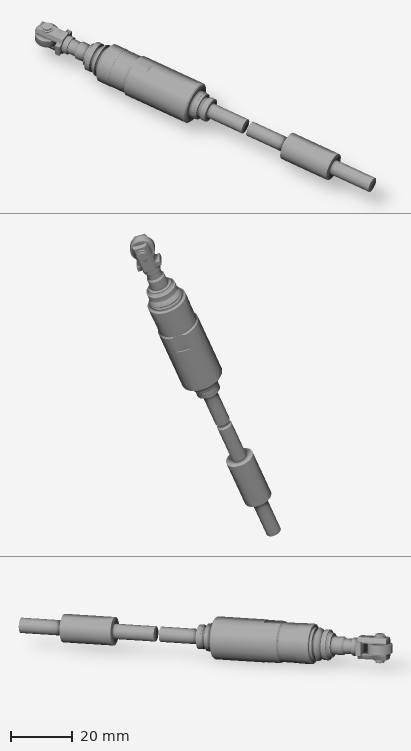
import cadquery as cq


roller_dia = 8.0
roller_width = 3.0
pin_x = roller_dia / 2
pin_dia = 3.0
pin_length = 9.4
washer_dia = 4.0
washer_thickness = 0.4

fork_tip_x = 1.2
fork_end_x = 11.0
fork_height = 7.2
fork_width = 5.0
fork_flat_width = 3.6
fork_shoulder_height = 4.4
fork_slot_height = 3.5
fork_slot_end_x = 9.3
flange_width = 8.0

stem_dia = 6.0
stem_chamfer = 0.3
stem_neck_dia = 5.0
stem_neck_start_x = 13.0
stem_neck_end_x = 15.7
stem_neck_taper = 0.6

bellows_x = 19.9
bellows_nose_dia = 7.9
bellows_collar_dia = 9.0
bellows_taper_x = 20.4
bellows_bead_dia = 10.0
bellows_bead_start_x = 21.1
bellows_bead_end_x = 22.7
bellows_groove_dia = 8.0
bellows_disc_x = 23.0
bellows_disc_mid_x = 23.85
bellows_disc_mid_dia = 10.0
bellows_disc_dia = 11.0
bellows_slit_start_x = 24.8
bellows_slit_end_x = 25.7
bellows_slit_dia = 9.0

cap_dia = 13.2
cap_chamfer = 0.15
cap_x = 26.5
cap_joint_x = 31.1
cap_end_x = 36.9
barrel_front_dia = 13.0
barrel_dia = 14.0
barrel_end_x = 60.2
barrel_chamfer = 0.4
flat_across = 13.0
flat_length = 6.1

gland_dia = 9.3
gland_end_x = 62.0
gland_step_dia = 9.0
gland_step_end_x = 62.8
gland_groove_dia = 7.0
gland_taper_x = 63.6
gland_taper_end_x = 63.9
gland_taper_dia = 7.7
gland_lip_x = 64.2
gland_lip_dia = 8.0
gland_lip_end_x = 65.8

cable_dia = 5.0
cable_break_x = 78.9
cable_resume_x = 80.7
cable_end_x = 126.86
sleeve_dia = 9.3
sleeve_start_x = 94.8
sleeve_end_x = 112.2


def turned(stations):
    """Solid of revolution about X through (x, diameter) stations."""
    points = [(x, dia / 2) for x, dia in stations]
    outline = [(points[0][0], 0)] + points + [(points[-1][0], 0)]
    return cq.Workplane("XY").polyline(outline).close().revolve(360, (0, 0, 0), (1, 0, 0))


def slab(start_x, end_x, width, height):
    """Block centred on the X axis."""
    return cq.Workplane("XY").box(end_x - start_x, width, height).translate(((start_x + end_x) / 2, 0, 0))


def upright_disc(dia, height):
    """Cylinder along Z on the pin axis, centred on Z = 0."""
    return cq.Workplane("XY").center(pin_x, 0).circle(dia / 2).extrude(height / 2, both=True)


def make_fork():
    half_section = [
        (fork_width / 2, -fork_shoulder_height / 2),
        (fork_width / 2, fork_shoulder_height / 2),
        (fork_flat_width / 2, fork_height / 2),
    ]
    section = half_section + [(-y, z) for y, z in reversed(half_section)]
    section += [(-fork_flat_width / 2, -fork_height / 2), (fork_flat_width / 2, -fork_height / 2)]
    fork = (
        cq.Workplane("YZ", origin=(fork_tip_x, 0, 0))
        .polyline(section)
        .close()
        .extrude(fork_end_x - fork_tip_x)
    )
    flange = slab(fork_slot_end_x, fork_end_x, flange_width, fork_shoulder_height)
    slot = slab(fork_tip_x, fork_slot_end_x, fork_width, fork_slot_height)
    return fork.cut(slot).union(flange)


def make_roller():
    roller = upright_disc(roller_dia, roller_width)
    pin = upright_disc(pin_dia, pin_length)
    washers = upright_disc(washer_dia, fork_height + 2 * washer_thickness)
    washers = washers.cut(upright_disc(washer_dia, fork_height))
    return roller.union(pin).union(washers)


def make_bellows_disc():
    """Bellows disc with a domed front face, rising from the groove to the full diameter."""
    return (
        cq.Workplane("XY")
        .moveTo(bellows_disc_x, 0)
        .lineTo(bellows_disc_x, bellows_groove_dia / 2)
        .threePointArc(
            (bellows_disc_mid_x, bellows_disc_mid_dia / 2),
            (bellows_slit_start_x, bellows_disc_dia / 2),
        )
        .lineTo(bellows_slit_start_x, 0)
        .close()
        .revolve(360, (0, 0, 0), (1, 0, 0))
    )


def make_stem_and_barrel():
    shaft = turned([
        (fork_end_x, stem_dia - 2 * stem_chamfer),
        (fork_end_x + stem_chamfer, stem_dia),
        (stem_neck_start_x, stem_dia),
        (stem_neck_start_x, stem_neck_dia),
        (stem_neck_end_x, stem_neck_dia),
        (stem_neck_end_x + stem_neck_taper, stem_dia),
        (bellows_x, stem_dia),
        (bellows_x, bellows_nose_dia),
        (bellows_taper_x, bellows_nose_dia),
        (bellows_bead_start_x, bellows_collar_dia),
        (bellows_bead_start_x, bellows_bead_dia),
        (bellows_bead_end_x, bellows_bead_dia),
        (bellows_bead_end_x, bellows_groove_dia),
        (bellows_slit_start_x, bellows_groove_dia),
        (bellows_slit_start_x, bellows_slit_dia),
        (bellows_slit_end_x, bellows_slit_dia),
        (bellows_slit_end_x, bellows_disc_dia),
        (cap_x, bellows_disc_dia),
        (cap_x, cap_dia - 2 * cap_chamfer),
        (cap_x + cap_chamfer, cap_dia),
        (cap_joint_x, cap_dia),
        (cap_joint_x, barrel_front_dia),
        (cap_end_x, barrel_front_dia),
        (cap_end_x, barrel_dia - 2 * barrel_chamfer),
        (cap_end_x + barrel_chamfer, barrel_dia),
        (barrel_end_x - barrel_chamfer, barrel_dia),
        (barrel_end_x, barrel_dia - 2 * barrel_chamfer),
        (barrel_end_x, gland_dia),
        (gland_end_x, gland_dia),
        (gland_end_x, gland_step_dia),
        (gland_step_end_x, gland_step_dia),
        (gland_step_end_x, gland_groove_dia),
        (gland_taper_x, gland_groove_dia),
        (gland_taper_end_x, gland_taper_dia),
        (gland_lip_x, gland_taper_dia),
        (gland_lip_x, gland_lip_dia),
        (gland_lip_end_x, gland_lip_dia),
        (gland_lip_end_x, cable_dia),
        (cable_break_x, cable_dia),
    ])
    flat_end_x = cap_end_x + flat_length
    flats = slab(cap_end_x, flat_end_x, barrel_dia, barrel_dia)
    flats = flats.cut(slab(cap_end_x, flat_end_x, barrel_dia, flat_across))
    return shaft.cut(flats).union(make_bellows_disc())


def make_plunger_unit():
    return make_stem_and_barrel().union(make_fork()).union(make_roller())


def make_cable_with_sleeve():
    return turned([
        (cable_resume_x, cable_dia),
        (sleeve_start_x, cable_dia),
        (sleeve_start_x, sleeve_dia),
        (sleeve_end_x, sleeve_dia),
        (sleeve_end_x, cable_dia),
        (cable_end_x, cable_dia),
    ])


plunger_unit = make_plunger_unit()
cable_with_sleeve = make_cable_with_sleeve()

result = cq.Compound.makeCompound([plunger_unit.val(), cable_with_sleeve.val()])